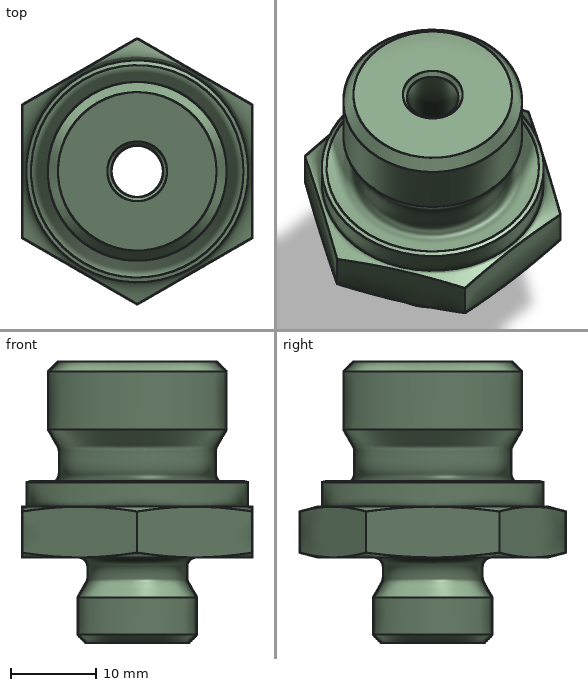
import cadquery as cq
import math

total_height = 33.0
hex_bottom = 10.03
hex_top = 16.0
flange_top = 19.0

across_flats = 27.0
across_corners = across_flats / math.cos(math.radians(30))
hex_chamfer_circle_radius = 13.43
hex_chamfer_angle = 15.0

flange_radius = 26.0 / 2
rim_bevel_height = 0.15
rim_radius = 12.45

lower_radius = 14.0 / 2
lower_neck_radius = 11.7 / 2
lower_end_chamfer = 1.0
lower_shoulder = 5.38
lower_fillet = 1.02

upper_radius = 20.95 / 2
upper_neck_radius = 18.4 / 2
upper_end_chamfer = 1.2
upper_shoulder = 25.05
upper_fillet = upper_radius - upper_neck_radius
dish_bottom = 18.6

shoulder_angle = 30.0

bore_radius = 6.0 / 2
countersink_radius = 3.5


def cone_height(radius_change):
    """Axial length of a shoulder cone with the given change in radius."""
    return radius_change / math.tan(math.radians(shoulder_angle))


def neck_arc(neck_radius, corner_height, fillet, axial_sign):
    """Start, middle and end of the arc blending a neck into its shoulder cone.

    The points run from the neck to the cone; axial_sign points towards the cone.
    """
    tangent_length = fillet * math.tan(math.radians(shoulder_angle / 2))
    start_height = corner_height - axial_sign * tangent_length

    def arc_point(angle):
        turn = math.radians(angle)
        radius = neck_radius + fillet * (1 - math.cos(turn))
        return radius, start_height + axial_sign * fillet * math.sin(turn)

    return arc_point(0), arc_point(shoulder_angle / 2), arc_point(shoulder_angle)


def make_turned_body():
    """Both studs and the sealing flange as one solid of revolution."""
    quarter_middle = 1 - math.sqrt(0.5)
    lower_corner = lower_shoulder + cone_height(lower_radius - lower_neck_radius)
    upper_corner = upper_shoulder - cone_height(upper_radius - upper_neck_radius)
    lower_arc = neck_arc(lower_neck_radius, lower_corner, lower_fillet, -1)
    upper_arc = neck_arc(upper_neck_radius, upper_corner, upper_fillet, 1)

    profile = (
        cq.Workplane("XZ")
        .moveTo(0, 0)
        .lineTo(lower_radius - lower_end_chamfer, 0)
        .lineTo(lower_radius, lower_end_chamfer)
        .lineTo(lower_radius, lower_shoulder)
        .lineTo(*lower_arc[2])
        .threePointArc(lower_arc[1], lower_arc[0])
        .lineTo(lower_neck_radius, hex_bottom - lower_fillet)
        .threePointArc(
            (lower_neck_radius + quarter_middle * lower_fillet, hex_bottom - quarter_middle * lower_fillet),
            (lower_neck_radius + lower_fillet, hex_bottom),
        )
        .lineTo(flange_radius, hex_bottom)
        .lineTo(flange_radius, flange_top - rim_bevel_height)
        .lineTo(rim_radius, flange_top)
        .lineTo(upper_neck_radius + upper_fillet, dish_bottom)
        .threePointArc(
            (upper_neck_radius + quarter_middle * upper_fillet, dish_bottom + quarter_middle * upper_fillet),
            (upper_neck_radius, dish_bottom + upper_fillet),
        )
        .lineTo(*upper_arc[0])
        .threePointArc(upper_arc[1], upper_arc[2])
        .lineTo(upper_radius, upper_shoulder)
        .lineTo(upper_radius, total_height - upper_end_chamfer)
        .lineTo(upper_radius - upper_end_chamfer, total_height)
        .lineTo(0, total_height)
        .close()
    )
    return profile.revolve(360, (0, 0, 0), (0, 1, 0))


def make_hexagon():
    """Hexagon with corners on the Y axis, its corners turned off conically at both ends."""
    corner_radius = across_corners / 2
    corner_drop = (corner_radius - hex_chamfer_circle_radius) * math.tan(math.radians(hex_chamfer_angle))
    prism = (
        cq.Workplane("XY", origin=(0, 0, hex_bottom))
        .transformed(rotate=(0, 0, 90))
        .polygon(6, across_corners)
        .extrude(hex_top - hex_bottom)
    )
    envelope = (
        cq.Workplane("XZ")
        .moveTo(0, hex_bottom)
        .lineTo(hex_chamfer_circle_radius, hex_bottom)
        .lineTo(corner_radius, hex_bottom + corner_drop)
        .lineTo(corner_radius, hex_top - corner_drop)
        .lineTo(hex_chamfer_circle_radius, hex_top)
        .lineTo(0, hex_top)
        .close()
        .revolve(360, (0, 0, 0), (0, 1, 0))
    )
    return prism.intersect(envelope)


def make_bore():
    """Through bore with a 45 degree countersink at the upper end."""
    countersink_depth = countersink_radius - bore_radius
    return (
        cq.Workplane("XZ")
        .moveTo(0, 0)
        .lineTo(bore_radius, 0)
        .lineTo(bore_radius, total_height - countersink_depth)
        .lineTo(countersink_radius, total_height)
        .lineTo(0, total_height)
        .close()
        .revolve(360, (0, 0, 0), (0, 1, 0))
    )


result = make_turned_body().union(make_hexagon()).cut(make_bore())